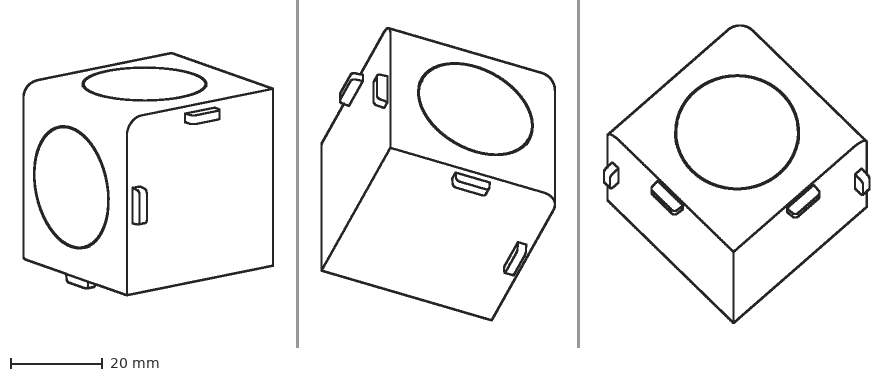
import cadquery as cq
import math

cube_side = 40.0
edge_radius = 4.0

cap_radius = 13.3
cap_gap = 0.2
cap_depth = 1.98
dome_height = 0.47

tab_length = 2.5
tab_width = 8.1
tab_thickness = 1.98
tab_inset = 1.6
tab_taper = 5.0
tab_corner_radius = 0.85

half_side = cube_side / 2
recess_radius = cap_radius + cap_gap
tab_offset = half_side - tab_inset - tab_thickness / 2
dome_radius = (cap_radius**2 + dome_height**2) / (2 * dome_height)
dome_mid_radius = cap_radius / 2
dome_mid_height = dome_height - dome_radius + math.sqrt(dome_radius**2 - dome_mid_radius**2)
tab_tip_width = tab_width - 2 * tab_length * math.tan(math.radians(tab_taper))

X_AXIS = cq.Vector(1, 0, 0)
Y_AXIS = cq.Vector(0, 1, 0)
Z_AXIS = cq.Vector(0, 0, 1)

outer_normals = [-X_AXIS, -Y_AXIS, Z_AXIS]


def outer_plane(outward):
    """Plane at the centre of an outer face, with its normal pointing outward."""
    return cq.Plane(origin=outward * half_side, normal=outward)


def make_tab(inner_normal, outer_normal):
    """Tapered tab on an inner face, running along a neighbouring outer face."""
    root_centre = inner_normal * half_side + outer_normal * tab_offset
    width_direction = inner_normal.cross(outer_normal)
    back_plane = cq.Plane(
        origin=root_centre - outer_normal * (tab_thickness / 2),
        xDir=width_direction,
        normal=width_direction.cross(inner_normal),
    )
    outline = [
        (-tab_width / 2, 0),
        (tab_width / 2, 0),
        (tab_tip_width / 2, tab_length),
        (-tab_tip_width / 2, tab_length),
    ]
    tab = cq.Workplane(back_plane).polyline(outline).close().extrude(tab_thickness)
    tip_face = tab.faces(cq.selectors.DirectionMinMaxSelector(inner_normal))
    tip_corners = tip_face.edges(cq.selectors.ParallelDirSelector(outer_normal))
    return tip_corners.fillet(tab_corner_radius)


def make_housing():
    """Cube with one rounded corner, three cap recesses and six tabs."""
    housing = cq.Workplane().box(cube_side, cube_side, cube_side)
    rounded_edges = "(<X and <Y) or (<X and >Z) or (<Y and >Z)"
    housing = housing.edges(rounded_edges).fillet(edge_radius)

    for normal in outer_normals:
        recess = cq.Workplane(outer_plane(normal)).circle(recess_radius).extrude(-cap_depth)
        housing = housing.cut(recess)

    for opposite in outer_normals:
        for neighbour in outer_normals:
            if neighbour is not opposite:
                housing = housing.union(make_tab(-opposite, neighbour))
    return housing


def make_cap(outward):
    """Round cap with a shallow spherical dome, seated in its outer face."""
    face = outer_plane(outward)
    section = cq.Plane(origin=face.origin, xDir=face.xDir, normal=face.xDir.cross(face.zDir))
    return (
        cq.Workplane(section)
        .moveTo(0, -cap_depth)
        .lineTo(cap_radius, -cap_depth)
        .lineTo(cap_radius, 0)
        .threePointArc((dome_mid_radius, dome_mid_height), (0, dome_height))
        .close()
        .revolve(360, (0, 0), (0, 1))
    )


housing = make_housing()
caps = [make_cap(normal).val() for normal in outer_normals]

result = cq.Compound.makeCompound([housing.val(), *caps])